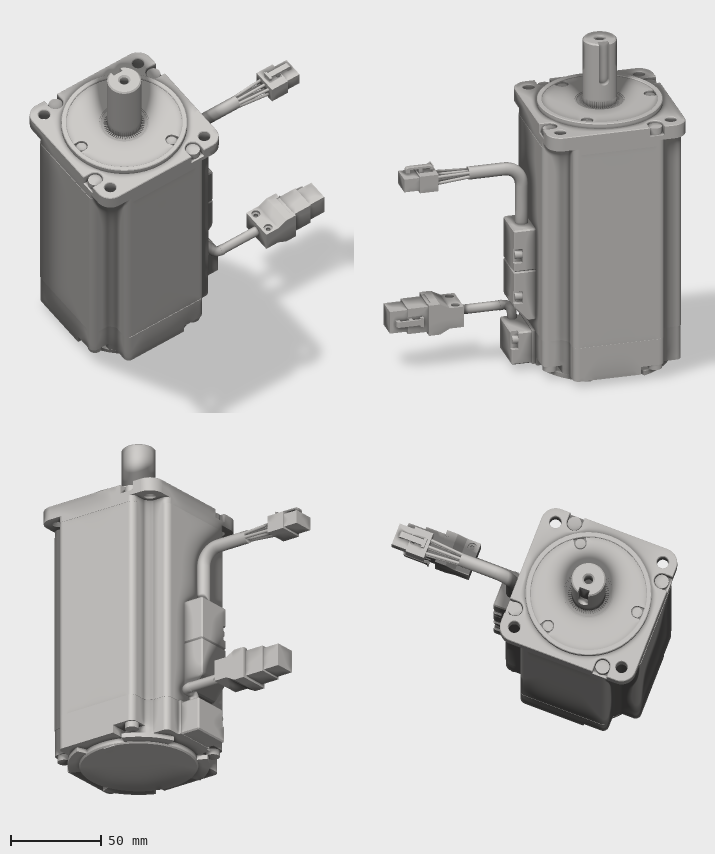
import cadquery as cq
import math


TOTAL_HEIGHT = 193.2
PILOT_TOP = 156.5
FLANGE_TOP = 153.4
FLANGE_BOTTOM = 145.3
FRAME_TOP = 141.6
FRAME_BOTTOM = 24.2
COVER_BOTTOM = 3.9
END_PLATE_BOTTOM = 0.4

HALF_WIDTH = 40.0
FRAME_HALF_X = 39.8
FRAME_HALF_Y = 40.2
FLANGE_CORNER_RADIUS = 8.3
EDGE_CHAMFER = 0.4
MOUNT_HOLE_OFFSET = 31.9
MOUNT_HOLE_RADIUS = 3.3
NOTCH_WALL = 26.3
NOTCH_DIAGONAL = 3.3
COVER_NOTCH_GROWTH = 0.2
NOTCH_LIP_RADIUS = 3.3
NOTCH_ROOT_RADIUS = 2.0

SCREW_ALONG = 21.8
SCREW_OUT = 35.2
SCREW_HEAD_RADIUS = 3.9
FLANGE_POCKET_RADIUS = 4.3
FLANGE_POCKET_DEPTH = 5.5
FLANGE_SCREW_SINK = 1.4
COVER_POCKET_START = 12.4
COVER_POCKET_END = 29.4
COVER_POCKET_INNER = 29.0
COVER_POCKET_TOP = 8.5
COVER_SCREW_BOTTOM = 5.0

PILOT_RADIUS = 35.0
PILOT_RECESS_RADIUS = 32.0
PILOT_RECESS_DEPTH = 0.8
PILOT_SCREW_CIRCLE = 29.0
PILOT_POCKET_RADIUS = 3.5
PILOT_POCKET_DEPTH = 2.0
PILOT_SCREW_RADIUS = 2.8
PILOT_SCREW_SINK = 0.8
SEAL_RIM_RADIUS = 14.0
SEAL_RIM_DEPTH = 0.4
SEAL_RADIUS = 13.1
SEAL_DEPTH = 0.8

END_PLATE_RADIUS = 33.2
END_PLATE_CHAMFER = 0.8
EAR_RADIUS = 39.5
EAR_HALF_ANGLE = 22.0
EAR_FIRST_ANGLE = 45.0
EAR_BOTTOM = 1.4
FOOT_X = 31.7
FOOT_LENGTH = 7.1
FOOT_WIDTH = 1.2

SHAFT_RADIUS = 9.5
SHAFT_CHAMFER = 0.8
COLLAR_RADIUS = 11.4
COLLAR_TOP = PILOT_TOP - PILOT_RECESS_DEPTH - SEAL_DEPTH
COLLAR_HEIGHT = 2.0
TOOTH_COUNT = 54
TOOTH_SLOT_WIDTH = 0.48
TOOTH_SLOT_ROOT = 8.9
TOOTH_TOP = 158.2
TOOTH_DEPTH = 1.2
KEYWAY_WIDTH = 6.0
KEYWAY_FLOOR = 5.8
KEYWAY_BOTTOM = 168.0
CENTRE_HOLE_RADIUS = 2.5
CENTRE_HOLE_DEPTH = 12.0
DRILL_POINT_DEPTH = 1.5
COUNTERSINK_RADIUS = 3.5

POWER_BOX_HALF_WIDTH = 11.0
POWER_BOX_OUT = 52.5
POWER_BOX_TOP = 86.5
POWER_BOX_SPLIT = 61.5
POWER_BOX_BOTTOM = 31.1
POWER_SLOPE_TOP = 39.8
POWER_SLOPE_Y = 45.0
BOX_CHAMFER = 0.8
CLIP_FLOOR = 47.5
CLIP_DEPTH = 2.7
CLIP_SCREW_RADIUS = 2.3
UPPER_CLIP_BOTTOM = 66.7
UPPER_CLIP_TOP = 75.3
LOWER_CLIP_BOTTOM = 42.1
LOWER_CLIP_TOP = 49.5
POWER_CABLE_RADIUS = 3.7
POWER_CABLE_Y = 45.2
POWER_CABLE_Z = 120.2
POWER_BEND_RADIUS = 10.0
POWER_CABLE_END = 76.1
POWER_PLUG_REAR = 95.0
POWER_PLUG_Z = 119.8
WIRE_RADIUS = 0.87
WIRE_COLUMN_SPREAD = 4.0
WIRE_COLUMN_PINCH = 2.5
WIRE_ROW_SPREAD = 2.0
WIRE_ROW_PINCH = 1.2

ENCODER_BOX_LEFT = -8.7
ENCODER_BOX_RIGHT = 15.5
ENCODER_BOX_OUT = 53.3
ENCODER_BOX_TOP = 23.5
ENCODER_BOX_BOTTOM = 4.0
ENCODER_RIM = 1.0
ENCODER_RIM_OUT = 41.7
ENCODER_CLIP_BOTTOM = 13.3
ENCODER_CLIP_FLOOR = 49.3
ENCODER_CABLE_RADIUS = 2.7
ENCODER_EXIT_X = 11.5
ENCODER_EXIT_Y = 47.3
ENCODER_X = 20.3
ENCODER_Z = 28.0
ENCODER_BEND_RADIUS = 3.3
CABLE_BAND_RADIUS = 2.9
CABLE_BAND_LENGTH = 1.7
BOOT_REAR = 75.3
BOOT_HALF_WIDTH = 9.7
BOOT_REAR_HALF_HEIGHT = 6.2
BOOT_FRONT_HALF_HEIGHT = 9.18
BOOT_TAPER_START = 83.5
BOOT_TAPER_END = 89.0
BOOT_FRONT = 95.5
BOOT_SCREW_OFFSET = 6.0
BOOT_SCREW_Y = 79.2
BOOT_BORE_RADIUS = 2.5
BOOT_BORE_DEPTH = 1.5
BOOT_SOCKET_RADIUS = 1.4
BOOT_STEP_LENGTH = 2.0
BOOT_STEP_DEPTH = 0.5

POWER_PLUG = dict(shell_width=14.9, shell_height=10.0, shell_length=10.8,
                  nose_width=12.5, nose_height=7.7, nose_length=8.7, latch_start=1.7)
ENCODER_PLUG = dict(shell_width=15.3, shell_height=14.9, shell_length=11.5,
                    nose_width=13.1, nose_height=12.5, nose_length=10.0, latch_start=3.3)
LATCH_WIDTH = 3.3
LATCH_THICKNESS = 1.2
LATCH_RISE = 2.1
LATCH_LENGTH = 15.5
LATCH_STEM_OFFSET = 6.0
LATCH_STEM_LENGTH = 2.0
LATCH_HOOK_LENGTH = 2.3
LATCH_HOOK_DROP = 2.0
LATCH_HOOK_ROUND = 1.7
LATCH_TAIL_LENGTH = 1.7
LATCH_TAIL_WIDTH = 5.5
LATCH_TAIL_RISE = 0.5
GUIDE_WIDTH = 5.5
GUIDE_LENGTH = 8.5
GUIDE_DEPTH = 0.5

CUT_MARGIN = 3.9


def block(x_range, y_range, z_range):
    """Box between the given limits along each axis."""
    (x0, x1), (y0, y1), (z0, z1) = x_range, y_range, z_range
    return cq.Workplane("XY").box(x1 - x0, y1 - y0, z1 - z0, centered=False).translate((x0, y0, z0))


def disc(x, y, radius, z0, z1):
    """Upright cylinder centred on (x, y)."""
    return cq.Workplane("XY", origin=(x, y, z0)).circle(radius).extrude(z1 - z0)


def rod(start, end, radius):
    """Straight round rod between two points."""
    axis = cq.Vector(*end) - cq.Vector(*start)
    return cq.Workplane(obj=cq.Solid.makeCylinder(radius, axis.Length, cq.Vector(*start), axis))


def around_axis(shape, count, first_angle=0.0):
    """Copies of a shape spaced evenly around the motor axis."""
    return [shape.rotate((0, 0, 0), (0, 0, 1), first_angle + i * 360.0 / count) for i in range(count)]


def add_all(base, shapes):
    for shape in shapes:
        base = base.union(shape)
    return base


def cut_all(base, shapes):
    for shape in shapes:
        base = base.cut(shape)
    return base


def notched_section(half_x, half_y, notch_wall, z0, z1):
    """Length of frame with a round-lipped notch along each of its four corners."""
    section = block((-half_x, half_x), (-half_y, half_y), (z0, z1))
    outside = HALF_WIDTH + CUT_MARGIN
    root = notch_wall + NOTCH_DIAGONAL
    notch = (
        cq.Workplane("XY", origin=(0, 0, z0))
        .polyline([(notch_wall, outside), (notch_wall, root), (root, notch_wall),
                   (outside, notch_wall), (outside, outside)])
        .close().extrude(z1 - z0)
    )
    section = cut_all(section, around_axis(notch, 4))

    def is_lip(edge):
        centre = edge.Center()
        return max(abs(centre.x), abs(centre.y)) > root + NOTCH_LIP_RADIUS

    def is_root(edge):
        return not is_lip(edge)

    section = section.edges("|Z").filter(is_root).fillet(NOTCH_ROOT_RADIUS)
    lip_edges = section.edges("|Z").filter(is_lip)
    return lip_edges.fillet(NOTCH_LIP_RADIUS)


def rear_cover():
    """Rear cover with a pocket and a screw head beside each notch of its bottom edge."""
    cover_notch = NOTCH_WALL - COVER_NOTCH_GROWTH
    cover = notched_section(HALF_WIDTH, HALF_WIDTH, cover_notch, COVER_BOTTOM, FRAME_BOTTOM)
    pocket = block((COVER_POCKET_START, COVER_POCKET_END),
                   (-HALF_WIDTH - CUT_MARGIN, -COVER_POCKET_INNER),
                   (COVER_BOTTOM, COVER_POCKET_TOP))
    head = disc(SCREW_ALONG, -SCREW_OUT, SCREW_HEAD_RADIUS, COVER_SCREW_BOTTOM, COVER_POCKET_TOP)
    cover = cut_all(cover, around_axis(pocket, 4))
    return add_all(cover, around_axis(head, 4))


def flange():
    """Square mounting flange with its through holes and sunk screw heads."""
    plate = (
        block((-HALF_WIDTH, HALF_WIDTH), (-HALF_WIDTH, HALF_WIDTH), (FLANGE_BOTTOM, FLANGE_TOP))
        .edges("|Z").fillet(FLANGE_CORNER_RADIUS)
    )
    mount_hole = disc(MOUNT_HOLE_OFFSET, MOUNT_HOLE_OFFSET, MOUNT_HOLE_RADIUS, FLANGE_BOTTOM, FLANGE_TOP)
    pocket_floor = FLANGE_TOP - FLANGE_POCKET_DEPTH
    pocket = disc(SCREW_ALONG, -SCREW_OUT, FLANGE_POCKET_RADIUS, pocket_floor, FLANGE_TOP).union(
        block((SCREW_ALONG - FLANGE_POCKET_RADIUS, SCREW_ALONG + FLANGE_POCKET_RADIUS),
              (-HALF_WIDTH - CUT_MARGIN, -SCREW_OUT), (pocket_floor, FLANGE_TOP)))
    head = disc(SCREW_ALONG, -SCREW_OUT, SCREW_HEAD_RADIUS, pocket_floor, FLANGE_TOP - FLANGE_SCREW_SINK)
    plate = cut_all(plate, around_axis(mount_hole, 4) + around_axis(pocket, 4))
    plate = plate.faces(">Z").chamfer(EDGE_CHAMFER)
    return add_all(plate, around_axis(head, 4))


def pilot():
    """Raised centring disc with a shallow recess, three sunk screws and the seal seat."""
    recess_floor = PILOT_TOP - PILOT_RECESS_DEPTH
    pocket_floor = recess_floor - PILOT_POCKET_DEPTH
    boss = disc(0, 0, PILOT_RADIUS, FLANGE_TOP, PILOT_TOP)
    boss = boss.cut(disc(0, 0, PILOT_RECESS_RADIUS, recess_floor, PILOT_TOP))
    boss = boss.faces(">Z").chamfer(EDGE_CHAMFER)
    pocket = disc(0, -PILOT_SCREW_CIRCLE, PILOT_POCKET_RADIUS, pocket_floor, recess_floor).union(
        block((-PILOT_POCKET_RADIUS, PILOT_POCKET_RADIUS),
              (-PILOT_RECESS_RADIUS, -PILOT_SCREW_CIRCLE), (pocket_floor, recess_floor)))
    pocket = pocket.intersect(disc(0, 0, PILOT_RECESS_RADIUS, pocket_floor, recess_floor))
    head = disc(0, -PILOT_SCREW_CIRCLE, PILOT_SCREW_RADIUS, pocket_floor, recess_floor - PILOT_SCREW_SINK)
    rim = disc(0, 0, SEAL_RIM_RADIUS, recess_floor - SEAL_RIM_DEPTH, recess_floor)
    seal = disc(0, 0, SEAL_RADIUS, recess_floor - SEAL_DEPTH, recess_floor)
    boss = cut_all(boss, [rim, seal] + around_axis(pocket, 3))
    return add_all(boss, around_axis(head, 3))


def end_plate():
    """Round plate under the cover with four corner ears and one small foot."""
    plate = disc(0, 0, END_PLATE_RADIUS, END_PLATE_BOTTOM, COVER_BOTTOM)
    plate = plate.faces("<Z").chamfer(END_PLATE_CHAMFER)
    angle = math.radians(EAR_HALF_ANGLE)
    end_x = EAR_RADIUS * math.cos(angle)
    end_y = EAR_RADIUS * math.sin(angle)
    ear = (
        cq.Workplane("XY", origin=(0, 0, EAR_BOTTOM))
        .moveTo(0, 0).lineTo(end_x, -end_y)
        .threePointArc((EAR_RADIUS, 0), (end_x, end_y))
        .close().extrude(COVER_BOTTOM - EAR_BOTTOM)
    )
    foot = block((FOOT_X - FOOT_WIDTH / 2, FOOT_X + FOOT_WIDTH / 2), (0, FOOT_LENGTH), (0, COVER_BOTTOM))
    return add_all(plate, around_axis(ear, 4, EAR_FIRST_ANGLE) + [foot])


def clip_pocket(wall_x, outer_y, floor_y, z0, z1):
    """Pocket in the -X side of a cable box, open towards +Y, and the screw standing in it."""
    pocket = block((wall_x - CUT_MARGIN, wall_x + CLIP_DEPTH), (floor_y, outer_y + CUT_MARGIN), (z0, z1))
    screw_z = (z0 + z1) / 2
    screw_x = wall_x + CLIP_DEPTH
    screw = rod((screw_x, floor_y, screw_z), (screw_x, outer_y - BOX_CHAMFER, screw_z), CLIP_SCREW_RADIUS)
    return pocket, screw


def power_boxes():
    """Two boxes stacked on the +Y face of the frame; the lower one has a sloped underside."""
    side = (-POWER_BOX_HALF_WIDTH, POWER_BOX_HALF_WIDTH)
    upper = block(side, (HALF_WIDTH, POWER_BOX_OUT), (POWER_BOX_SPLIT, POWER_BOX_TOP))
    lower = (
        cq.Workplane("YZ", origin=(-POWER_BOX_HALF_WIDTH, 0, 0))
        .polyline([(HALF_WIDTH, POWER_BOX_SPLIT), (POWER_BOX_OUT, POWER_BOX_SPLIT),
                   (POWER_BOX_OUT, POWER_SLOPE_TOP), (POWER_SLOPE_Y, POWER_BOX_BOTTOM),
                   (HALF_WIDTH, POWER_BOX_BOTTOM)])
        .close().extrude(2 * POWER_BOX_HALF_WIDTH)
    )
    boxes = upper.edges("not(<Y)").chamfer(BOX_CHAMFER).union(lower.edges("not(<Y)").chamfer(BOX_CHAMFER))
    for z0, z1 in ((UPPER_CLIP_BOTTOM, UPPER_CLIP_TOP), (LOWER_CLIP_BOTTOM, LOWER_CLIP_TOP)):
        pocket, screw = clip_pocket(-POWER_BOX_HALF_WIDTH, POWER_BOX_OUT, CLIP_FLOOR, z0, z1)
        boxes = boxes.cut(pocket).union(screw)
    return boxes


def encoder_box():
    """Box on the +Y face of the cover, with a rim around its foot."""
    box = block((ENCODER_BOX_LEFT, ENCODER_BOX_RIGHT), (HALF_WIDTH, ENCODER_BOX_OUT),
                (ENCODER_BOX_BOTTOM, ENCODER_BOX_TOP)).edges("not(<Y)").chamfer(BOX_CHAMFER)
    rim = block((ENCODER_BOX_LEFT - ENCODER_RIM, ENCODER_BOX_RIGHT + ENCODER_RIM),
                (HALF_WIDTH, ENCODER_RIM_OUT), (COVER_BOTTOM, FRAME_BOTTOM))
    pocket, screw = clip_pocket(ENCODER_BOX_LEFT, ENCODER_BOX_OUT, ENCODER_CLIP_FLOOR,
                                ENCODER_CLIP_BOTTOM, ENCODER_BOX_TOP)
    return box.union(rim).cut(pocket).union(screw)


def latch():
    """Sprung latch pointing to +Y: bar, stem, rounded front hook and wide tail; shell top at Z = 0."""
    side = (-LATCH_WIDTH / 2, LATCH_WIDTH / 2)
    wide = (-LATCH_TAIL_WIDTH / 2, LATCH_TAIL_WIDTH / 2)
    bar_top = LATCH_RISE + LATCH_THICKNESS
    hook_start = LATCH_LENGTH - LATCH_HOOK_LENGTH
    bar = block(side, (0, hook_start), (LATCH_RISE, bar_top))
    stem = block(side, (LATCH_STEM_OFFSET, LATCH_STEM_OFFSET + LATCH_STEM_LENGTH), (-GUIDE_DEPTH, LATCH_RISE))
    hook = block(side, (hook_start, LATCH_LENGTH), (LATCH_RISE - LATCH_HOOK_DROP, bar_top))
    hook = hook.edges("|X and >Y and >Z").fillet(LATCH_HOOK_ROUND)
    tail = block(wide, (0, LATCH_TAIL_LENGTH), (LATCH_RISE - LATCH_TAIL_RISE, bar_top))
    tail_tip = block(wide, (0, LATCH_TAIL_RISE), (LATCH_RISE, bar_top + LATCH_TAIL_RISE))
    return add_all(bar, [stem, hook, tail, tail_tip])


def plug(shell_width, shell_height, shell_length, nose_width, nose_height, nose_length, latch_start):
    """Plug pointing to +Y with its latch on top; the centre of its rear face is the origin."""
    shell_top = shell_height / 2
    shell = block((-shell_width / 2, shell_width / 2), (0, shell_length), (-shell_top, shell_top))
    nose = block((-nose_width / 2, nose_width / 2), (shell_length, shell_length + nose_length),
                 (-nose_height / 2, nose_height / 2))
    guide = block((-GUIDE_WIDTH / 2, GUIDE_WIDTH / 2), (latch_start, latch_start + GUIDE_LENGTH),
                  (shell_top - GUIDE_DEPTH, shell_top))
    return shell.union(nose).cut(guide).union(latch().translate((0, latch_start, shell_top)))


def encoder_boot():
    """Tapered boot behind the encoder plug, with two clamp screws in its top."""
    half_outline = [(BOOT_REAR, BOOT_REAR_HALF_HEIGHT), (BOOT_TAPER_START, BOOT_REAR_HALF_HEIGHT),
                    (BOOT_TAPER_END, BOOT_FRONT_HALF_HEIGHT), (BOOT_FRONT, BOOT_FRONT_HALF_HEIGHT)]
    outline = half_outline + [(y, -z) for y, z in reversed(half_outline)]
    boot = cq.Workplane("YZ").polyline(outline).close().extrude(BOOT_HALF_WIDTH, both=True)
    step = block((-ENCODER_PLUG["nose_height"] / 2, ENCODER_PLUG["nose_height"] / 2),
                 (BOOT_FRONT - BOOT_STEP_LENGTH, BOOT_FRONT),
                 (BOOT_FRONT_HALF_HEIGHT - BOOT_STEP_DEPTH, BOOT_FRONT_HALF_HEIGHT))
    boot = boot.cut(step)
    bore_floor = BOOT_REAR_HALF_HEIGHT - BOOT_BORE_DEPTH
    for x in (-BOOT_SCREW_OFFSET, BOOT_SCREW_OFFSET):
        boot = boot.cut(disc(x, BOOT_SCREW_Y, BOOT_BORE_RADIUS, bore_floor, BOOT_REAR_HALF_HEIGHT))
        boot = boot.cut(disc(x, BOOT_SCREW_Y, BOOT_SOCKET_RADIUS, bore_floor - BOOT_BORE_DEPTH, bore_floor))
    return boot.translate((ENCODER_X, 0, ENCODER_Z))


def power_lead():
    """Power cable up from the boxes, bent to +Y, then six wires fanning out to the plug."""
    r = POWER_BEND_RADIUS
    diagonal = r * math.sqrt(0.5)
    path = (
        cq.Workplane("YZ")
        .moveTo(POWER_CABLE_Y, POWER_BOX_TOP - CUT_MARGIN)
        .lineTo(POWER_CABLE_Y, POWER_CABLE_Z - r)
        .threePointArc((POWER_CABLE_Y + r - diagonal, POWER_CABLE_Z - r + diagonal),
                       (POWER_CABLE_Y + r, POWER_CABLE_Z))
        .lineTo(POWER_CABLE_END, POWER_CABLE_Z)
    )
    start = cq.Workplane("XY", origin=(0, POWER_CABLE_Y, POWER_BOX_TOP - CUT_MARGIN))
    lead = start.circle(POWER_CABLE_RADIUS).sweep(path)
    for column in (-1, 0, 1):
        for row in (-1, 1):
            cable_end = (column * WIRE_COLUMN_PINCH, POWER_CABLE_END - WIRE_RADIUS,
                         POWER_CABLE_Z + row * WIRE_ROW_PINCH)
            plug_end = (column * WIRE_COLUMN_SPREAD, POWER_PLUG_REAR + WIRE_RADIUS,
                        POWER_PLUG_Z + row * WIRE_ROW_SPREAD)
            lead = lead.union(rod(cable_end, plug_end, WIRE_RADIUS))
    return lead.union(plug(**POWER_PLUG).translate((0, POWER_PLUG_REAR, POWER_PLUG_Z)))


def encoder_lead():
    """Encoder cable up from its box, bent to +X and then to +Y, ending in the boot and plug."""
    r = ENCODER_BEND_RADIUS
    inset = r * (1 - math.sqrt(0.5))
    exit_point = cq.Vector(ENCODER_EXIT_X, ENCODER_EXIT_Y, ENCODER_BOX_TOP - CUT_MARGIN)
    rise_end = cq.Vector(ENCODER_EXIT_X, ENCODER_EXIT_Y, ENCODER_Z - r)
    rise_mid = cq.Vector(ENCODER_EXIT_X + inset, ENCODER_EXIT_Y, ENCODER_Z - inset)
    side_start = cq.Vector(ENCODER_EXIT_X + r, ENCODER_EXIT_Y, ENCODER_Z)
    side_end = cq.Vector(ENCODER_X - r, ENCODER_EXIT_Y, ENCODER_Z)
    turn_mid = cq.Vector(ENCODER_X - inset, ENCODER_EXIT_Y + inset, ENCODER_Z)
    turn_end = cq.Vector(ENCODER_X, ENCODER_EXIT_Y + r, ENCODER_Z)
    path = cq.Wire.assembleEdges([
        cq.Edge.makeLine(exit_point, rise_end),
        cq.Edge.makeThreePointArc(rise_end, rise_mid, side_start),
        cq.Edge.makeLine(side_start, side_end),
        cq.Edge.makeThreePointArc(side_end, turn_mid, turn_end),
        cq.Edge.makeLine(turn_end, cq.Vector(ENCODER_X, BOOT_REAR, ENCODER_Z)),
    ])
    start = cq.Workplane("XY", origin=exit_point.toTuple())
    lead = start.circle(ENCODER_CABLE_RADIUS).sweep(cq.Workplane(obj=path))
    band = rod(turn_end.toTuple(), (ENCODER_X, turn_end.y + CABLE_BAND_LENGTH, ENCODER_Z), CABLE_BAND_RADIUS)
    side_latched_plug = plug(**ENCODER_PLUG).rotate((0, 0, 0), (0, 1, 0), -90)
    side_latched_plug = side_latched_plug.translate((ENCODER_X, BOOT_FRONT, ENCODER_Z))
    return add_all(lead, [band, encoder_boot(), side_latched_plug])


def make_housing(shaft_body):
    """Complete motor housing with its cables, bored to match the shaft."""
    flange_neck = notched_section(HALF_WIDTH, HALF_WIDTH, NOTCH_WALL, FRAME_TOP, FLANGE_BOTTOM)
    frame = notched_section(FRAME_HALF_X, FRAME_HALF_Y, NOTCH_WALL, FRAME_BOTTOM, FRAME_TOP)
    body = add_all(frame, [rear_cover(), end_plate(), flange_neck, flange(), pilot()])
    body = add_all(body, [power_boxes(), encoder_box(), power_lead(), encoder_lead()])
    return body.cut(shaft_body)


def shaft_blank():
    """Plain round shaft with its collar, reaching down to the underside of the flange."""
    rod_part = disc(0, 0, SHAFT_RADIUS, FLANGE_BOTTOM, TOTAL_HEIGHT).faces(">Z").chamfer(SHAFT_CHAMFER)
    return rod_part.union(disc(0, 0, COLLAR_RADIUS, COLLAR_TOP - COLLAR_HEIGHT, COLLAR_TOP))


def make_shaft():
    """Shaft with serrated base, keyway and countersunk centre hole."""
    body = shaft_blank()
    slot = block((TOOTH_SLOT_ROOT, COLLAR_RADIUS + CUT_MARGIN),
                 (-TOOTH_SLOT_WIDTH / 2, TOOTH_SLOT_WIDTH / 2), (COLLAR_TOP - TOOTH_DEPTH, TOOTH_TOP))
    body = cut_all(body, around_axis(slot, TOOTH_COUNT))

    round_centre = KEYWAY_BOTTOM + KEYWAY_WIDTH / 2
    keyway = block((-SHAFT_RADIUS - CUT_MARGIN, -KEYWAY_FLOOR), (-KEYWAY_WIDTH / 2, KEYWAY_WIDTH / 2),
                   (round_centre, TOTAL_HEIGHT))
    round_end = rod((-SHAFT_RADIUS - CUT_MARGIN, 0, round_centre), (-KEYWAY_FLOOR, 0, round_centre),
                    KEYWAY_WIDTH / 2)
    body = body.cut(keyway.union(round_end))

    hole = disc(0, 0, CENTRE_HOLE_RADIUS, TOTAL_HEIGHT - CENTRE_HOLE_DEPTH, TOTAL_HEIGHT)
    drill_point = cq.Workplane(obj=cq.Solid.makeCone(
        0, CENTRE_HOLE_RADIUS, DRILL_POINT_DEPTH,
        cq.Vector(0, 0, TOTAL_HEIGHT - CENTRE_HOLE_DEPTH - DRILL_POINT_DEPTH)))
    body = body.cut(hole.union(drill_point))
    return body.faces(">Z").edges("%CIRCLE").edges(cq.selectors.RadiusNthSelector(0)).chamfer(
        COUNTERSINK_RADIUS - CENTRE_HOLE_RADIUS)


shaft = make_shaft()
housing = make_housing(shaft_blank())

result = cq.Compound.makeCompound([housing.solids().val(), shaft.solids().val()])